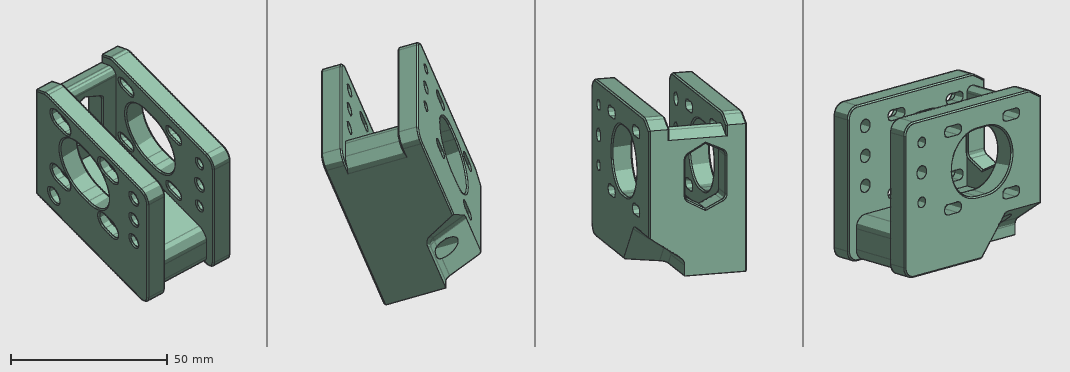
import cadquery as cq
import math

LENGTH = 61.0
WIDTH = 33.0
HEIGHT = 52.0
PLATE_THICKNESS = 7.0
EDGE_CHAMFER = 0.5
CORNER_RADIUS = 4.0

SLOPE_ANGLE = math.radians(30.0)
PLATE_SLOPE_RUN = 5.25

SPINE_LENGTH = 57.45
SPINE_TOP = HEIGHT - 3.8
SPINE_SLOPE_RUN = 4.95
SPINE_SLOPE_RADIUS = 3.3
WALL_THICKNESS = 8.0
WALL_TOP_RADIUS = 2.1
FLOOR_HEIGHT = 15.0

MOTOR_X = 26.5
MOTOR_Z = 32.5
MOTOR_BORE = 22.5
SLOT_TRAVEL = 4.0
SCREW_PITCH = 26.0
SCREW_SLOT_WIDTH = 3.55
COUNTERBORE_WIDTH = 6.35
COUNTERBORE_DEPTH = 3.25

COLUMN_X = 53.45
COLUMN_Z = 34.45
COLUMN_PITCH = 10.0
CLEARANCE_DIAMETER = 4.35
TAPPED_DIAMETER = 3.4

CROSS_HOLE_X = 9.9
CROSS_HOLE_Z = 7.5
CROSS_HOLE_DIAMETER = 5.8

WINDOW_NEAR_Y = 7.2
WINDOW_WIDTH = 13.4
WINDOW_HEIGHT = 21.55
WINDOW_NEAR_DROP = 3.2
WINDOW_FAR_DROP = 3.65
WINDOW_ROUND = 2.0

RELIEF_Y = 20.9
RELIEF_LOW_Z = 5.1
RELIEF_DEPTH = 15.85
RELIEF_FILLET = 3.0
RELIEF_CEILING_ANGLE = math.radians(35.0)
RELIEF_BACK_NORMAL = cq.Vector(1, -math.sin(RELIEF_CEILING_ANGLE), math.cos(RELIEF_CEILING_ANGLE))

FRONT_PLATE_INNER_Y = PLATE_THICKNESS
BACK_PLATE_INNER_Y = WIDTH - PLATE_THICKNESS
OVERSHOOT = 0.05


def round_edge(body, point, radius):
    return body.edges(cq.NearestToPointSelector(point)).fillet(radius)


def side_prism(length, top, slope_run, slope_radius, y_start, thickness):
    """Prism along Y with a sloped upper corner at X = 0 and rounded corners at the open end."""
    slope_foot = top - slope_run * math.tan(SLOPE_ANGLE)
    outline = [(0, 0), (length, 0), (length, top), (slope_run, top), (0, slope_foot)]
    prism = cq.Workplane("XZ", origin=(0, y_start, 0)).polyline(outline).close().extrude(-thickness)
    y_middle = y_start + thickness / 2
    for z in (0, top):
        prism = round_edge(prism, (length, y_middle, z), CORNER_RADIUS)
    return round_edge(prism, (slope_run, y_middle, top), slope_radius)


def plate(y_start):
    prism = side_prism(LENGTH, HEIGHT, PLATE_SLOPE_RUN, CORNER_RADIUS, y_start, PLATE_THICKNESS)
    return prism.faces("<Y or >Y").edges().chamfer(EDGE_CHAMFER)


def spine():
    y_start = PLATE_THICKNESS - EDGE_CHAMFER
    thickness = WIDTH - 2 * y_start
    block = side_prism(SPINE_LENGTH, SPINE_TOP, SPINE_SLOPE_RUN, SPINE_SLOPE_RADIUS, y_start, thickness)
    pocket = cq.Workplane("XY").box(LENGTH, WIDTH, HEIGHT, centered=False)
    pocket = pocket.translate((WALL_THICKNESS, 0, FLOOR_HEIGHT))
    block = round_edge(block.cut(pocket), (WALL_THICKNESS, WIDTH / 2, SPINE_TOP), WALL_TOP_RADIUS)
    return round_edge(block, (SPINE_LENGTH, WIDTH / 2, FLOOR_HEIGHT), CORNER_RADIUS)


def slot_cutter(x, z, width, travel, y_start, y_end, entry_chamfer=0, exit_chamfer=0):
    """Cutter along +Y, stretched by travel along X, with optional chamfers at its two ends."""

    def section(y, extra):
        plane = cq.Workplane("XZ", origin=(x, y, z))
        if travel:
            return plane.slot2D(width + travel + extra, width + extra)
        return plane.circle((width + extra) / 2)

    cutter = section(y_start, 0).extrude(y_start - y_end)
    if entry_chamfer:
        cutter = cutter.union(section(y_start, 2 * entry_chamfer).extrude(-entry_chamfer, taper=45))
    if exit_chamfer:
        cutter = cutter.union(section(y_end, 2 * exit_chamfer).extrude(exit_chamfer, taper=45))
    return cutter


def cut_motor_opening(body):
    for y_start, y_end in [(0, FRONT_PLATE_INNER_Y), (BACK_PLATE_INNER_Y, WIDTH)]:
        bore = slot_cutter(
            MOTOR_X, MOTOR_Z, MOTOR_BORE, SLOT_TRAVEL, y_start, y_end, EDGE_CHAMFER, EDGE_CHAMFER
        )
        body = body.cut(bore)
    return body


def cut_screw_slots(body):
    for side in (-1, 1):
        for level in (-1, 1):
            x = MOTOR_X + side * SCREW_PITCH / 2
            z = MOTOR_Z + level * SCREW_PITCH / 2
            seat_chamfer = EDGE_CHAMFER if (side, level) == (1, -1) else 0
            for width, y_start, y_end, chamfer in [
                (COUNTERBORE_WIDTH, 0, COUNTERBORE_DEPTH, EDGE_CHAMFER),
                (SCREW_SLOT_WIDTH, COUNTERBORE_DEPTH, FRONT_PLATE_INNER_Y, seat_chamfer),
                (SCREW_SLOT_WIDTH, BACK_PLATE_INNER_Y, WIDTH, EDGE_CHAMFER),
            ]:
                body = body.cut(slot_cutter(x, z, width, SLOT_TRAVEL, y_start, y_end, chamfer))
    return body


def cut_hole_column(body):
    for level in (-1, 0, 1):
        z = COLUMN_Z + level * COLUMN_PITCH
        far_diameter = TAPPED_DIAMETER if level else CLEARANCE_DIAMETER
        near = slot_cutter(COLUMN_X, z, CLEARANCE_DIAMETER, 0, 0, FRONT_PLATE_INNER_Y, EDGE_CHAMFER)
        far = slot_cutter(COLUMN_X, z, far_diameter, 0, BACK_PLATE_INNER_Y, WIDTH, EDGE_CHAMFER)
        body = body.cut(near).cut(far)
    return body


def cut_cross_hole(body):
    hole = slot_cutter(CROSS_HOLE_X, CROSS_HOLE_Z, CROSS_HOLE_DIAMETER, 0, 0, WIDTH, EDGE_CHAMFER)
    return body.cut(hole)


def window_prism(margin, depth):
    """Rounded six-sided prism from just outside the end wall to the given depth."""
    near_y = WINDOW_NEAR_Y
    far_y = near_y + WINDOW_WIDTH
    middle_y = near_y + WINDOW_WIDTH / 2
    near_half = WINDOW_HEIGHT / 2 - WINDOW_NEAR_DROP
    far_half = WINDOW_HEIGHT / 2 - WINDOW_FAR_DROP
    points = [
        (near_y, -near_half),
        (middle_y, -WINDOW_HEIGHT / 2),
        (far_y, -far_half),
        (far_y, far_half),
        (middle_y, WINDOW_HEIGHT / 2),
        (near_y, near_half),
    ]
    outline = cq.Workplane("YZ", origin=(-OVERSHOOT, 0, MOTOR_Z)).polyline(points).close()
    if margin:
        outline = outline.offset2D(margin, "intersection")
    prism = outline.extrude(depth + OVERSHOOT)
    prism = prism.edges("|X and <Y").fillet(WINDOW_ROUND + margin)
    return prism.edges("|X and >Y").fillet(WINDOW_ROUND + margin)


def cut_window(body):
    rim = window_prism(EDGE_CHAMFER, EDGE_CHAMFER).faces(">X").chamfer(EDGE_CHAMFER)
    inner_rim = rim.mirror("YZ", (WALL_THICKNESS / 2, 0, 0))
    return body.cut(window_prism(0, WALL_THICKNESS + OVERSHOOT)).cut(rim).cut(inner_rim)


def cut_relief(body):
    far_y = 2 * WIDTH
    far_z = RELIEF_LOW_Z + (far_y - RELIEF_Y) * math.tan(RELIEF_CEILING_ANGLE)
    below = -HEIGHT
    profile = [(RELIEF_Y, below), (far_y, below), (far_y, far_z), (RELIEF_Y, RELIEF_LOW_Z)]
    cutter = cq.Workplane("YZ", origin=(-LENGTH, 0, 0)).polyline(profile).close().extrude(4 * LENGTH)
    inner_corner = (RELIEF_DEPTH, RELIEF_Y, RELIEF_LOW_Z)
    back_plane = cq.Plane(inner_corner, normal=RELIEF_BACK_NORMAL)
    beyond_back = cq.Workplane(back_plane).rect(10 * LENGTH, 10 * LENGTH).extrude(10 * LENGTH)
    cutter = cutter.cut(beyond_back)
    back_edges = cutter.faces(cq.selectors.ParallelDirSelector(RELIEF_BACK_NORMAL)).edges()
    corner_edge = cutter.edges(cq.NearestToPointSelector((0, RELIEF_Y, RELIEF_LOW_Z)))
    return body.cut(back_edges.add(corner_edge).fillet(RELIEF_FILLET))


result = plate(0).union(plate(BACK_PLATE_INNER_Y)).union(spine())
result = cut_motor_opening(result)
result = cut_screw_slots(result)
result = cut_hole_column(result)
result = cut_cross_hole(result)
result = cut_window(result)
result = cut_relief(result)